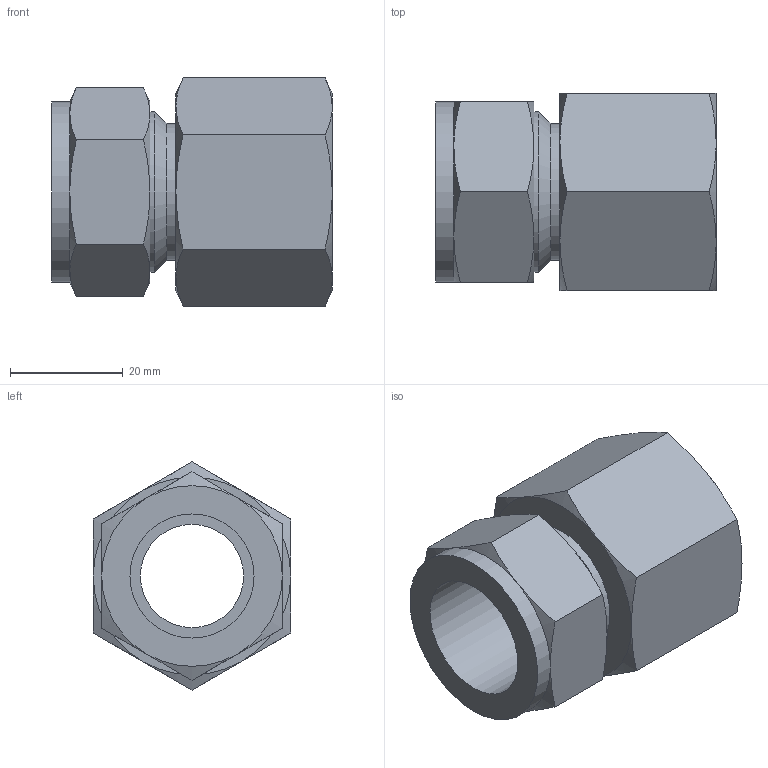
import cadquery as cq
import math

COLLAR_END = 3.2
NUT_END = 17.4
SHOULDER_END = 18.2
TAPER_END = 20.4
BODY_START = 22.0
BODY_END = 49.7

NUT_FLATS = 32.0
BODY_FLATS = 35.0
HEX_SIDES = 6
CORNER_CLEARANCE = 1.0
CORNER_CHAMFER_ANGLE = 25.0

COLLAR_DIAMETER = 32.0
SHOULDER_DIAMETER = 28.4
NECK_DIAMETER = 24.2

SOCKET_DIAMETER = 22.0
SOCKET_DEPTH = BODY_START
PASSAGE_DIAMETER = 18.3


def revolve_about_x(profile):
    """Turn a closed (x, radius) profile about the X axis."""
    return cq.Workplane("XY").polyline(profile).close().revolve(360, (0, 0, 0), (1, 0, 0))


def cylinder_along_x(start, end, diameter):
    return cq.Workplane("YZ").workplane(offset=start).circle(diameter / 2).extrude(end - start)


def chamfered_hex(start, end, across_flats):
    """Hexagonal prism along X whose corners are turned off conically at both ends."""
    flat_radius = across_flats / 2
    corner_radius = flat_radius / math.cos(math.pi / HEX_SIDES)
    corner_points = []
    for index in range(HEX_SIDES):
        angle = math.pi / 2 + 2 * math.pi * index / HEX_SIDES
        corner_points.append((corner_radius * math.cos(angle), corner_radius * math.sin(angle)))
    prism = cq.Workplane("YZ").workplane(offset=start).polyline(corner_points).close().extrude(end - start)

    envelope_radius = corner_radius + CORNER_CLEARANCE
    setback = (envelope_radius - flat_radius) * math.tan(math.radians(CORNER_CHAMFER_ANGLE))
    envelope = revolve_about_x([
        (start, 0),
        (start, flat_radius),
        (start + setback, envelope_radius),
        (end - setback, envelope_radius),
        (end, flat_radius),
        (end, 0),
    ])
    return prism.intersect(envelope)


def turned_neck():
    """Shoulder behind the nut, tapering down to the neck that meets the body."""
    return revolve_about_x([
        (NUT_END, 0),
        (NUT_END, SHOULDER_DIAMETER / 2),
        (SHOULDER_END, SHOULDER_DIAMETER / 2),
        (TAPER_END, NECK_DIAMETER / 2),
        (BODY_START, NECK_DIAMETER / 2),
        (BODY_START, 0),
    ])


collar = cylinder_along_x(0, COLLAR_END, COLLAR_DIAMETER)
nut = chamfered_hex(COLLAR_END, NUT_END, NUT_FLATS)
body = chamfered_hex(BODY_START, BODY_END, BODY_FLATS)
socket = cylinder_along_x(0, SOCKET_DEPTH, SOCKET_DIAMETER)
passage = cylinder_along_x(0, BODY_END, PASSAGE_DIAMETER)

result = collar.union(nut).union(turned_neck()).union(body).cut(socket).cut(passage)